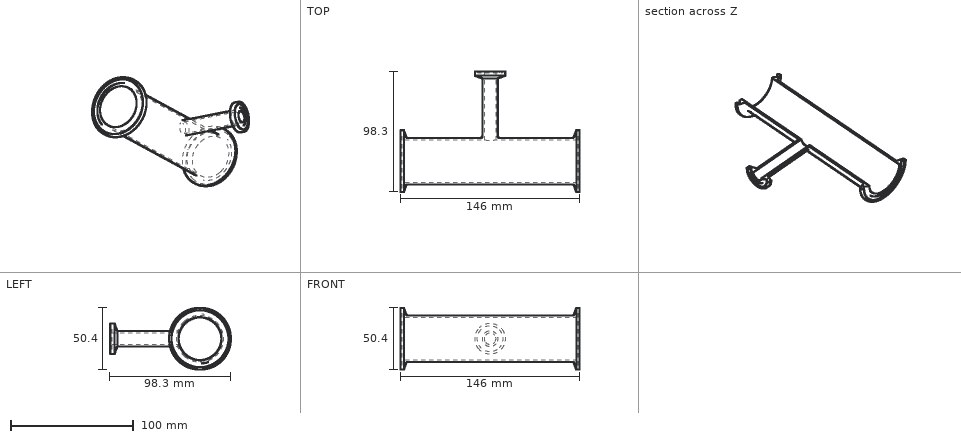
import cadquery as cq
import math

run_length = 146.0
total_width = 98.3

run_diameter = 38.1
run_bore = 34.8
run_flange_diameter = 50.4
run_groove_diameter = 47.3
run_rim_width = 2.8
run_neck_radius = 1.0

branch_diameter = 12.7
branch_bore = 9.3
branch_flange_diameter = 25.0
branch_groove_diameter = 21.9
branch_rim_width = 3.5
branch_weld_radius = 1.2
branch_reach = total_width - run_flange_diameter / 2

ferrule_length = 12.7
flange_back_angle = 20.0
groove_width = 3.0
groove_depth = 1.5
groove_lip_radius = 0.5


def ferrule(tube_diameter, flange_diameter, groove_diameter, rim_width):
    """Solid clamp ferrule with its face at Z = 0 and its tube running down -Z.

    The groove diameter is measured at the outside of the rounded outer lip.
    """
    tube_radius = tube_diameter / 2
    flange_radius = flange_diameter / 2
    groove_outer = groove_diameter / 2 - groove_lip_radius
    groove_inner = groove_outer - groove_width
    groove_middle = (groove_outer + groove_inner) / 2
    back_height = (flange_radius - tube_radius) * math.tan(math.radians(flange_back_angle))

    profile = (
        cq.Workplane("XZ")
        .moveTo(0, 0)
        .lineTo(groove_inner, 0)
        .threePointArc((groove_middle, -groove_depth), (groove_outer, 0))
        .lineTo(flange_radius, 0)
        .lineTo(flange_radius, -rim_width)
        .lineTo(tube_radius, -rim_width - back_height)
        .lineTo(tube_radius, -ferrule_length)
        .lineTo(0, -ferrule_length)
        .close()
    )
    body = profile.revolve(360, (0, 0, 0), (0, 1, 0))

    for lip in (0, 1):
        lip_edge = cq.selectors.RadiusNthSelector(lip)
        body = body.faces(">Z").edges(lip_edge).fillet(groove_lip_radius)
    return body


def run_ferrule():
    """Ferrule of the run, with a blended neck behind the flange."""
    body = ferrule(run_diameter, run_flange_diameter, run_groove_diameter, run_rim_width)
    return body.edges("%CIRCLE").edges(">>Z[1]").fillet(run_neck_radius)


def branch_ferrule():
    return ferrule(branch_diameter, branch_flange_diameter, branch_groove_diameter, branch_rim_width)


def crossing(run_size, run_end, branch_size, branch_end):
    """Cylinder along X from -run_end to run_end, joined to one from the origin along +Y."""
    run = cq.Workplane("YZ").circle(run_size / 2).extrude(run_end, both=True)
    branch = cq.Workplane("XZ").circle(branch_size / 2).extrude(-branch_end)
    return run.union(branch)


def tubes():
    """Solid run and branch between the ferrules, with the weld fillet where they meet."""
    run_end = run_length / 2 - ferrule_length
    branch_end = branch_reach - ferrule_length
    joined = crossing(run_diameter, run_end, branch_diameter, branch_end)
    weld_zone = cq.selectors.BoxSelector(
        (-branch_diameter, 0, -branch_diameter),
        (branch_diameter, run_diameter / 2, branch_diameter),
    )
    return joined.edges(weld_zone).edges("not |X").fillet(branch_weld_radius)


body = tubes()

for side in (-1, 1):
    run_end_ferrule = run_ferrule().rotate((0, 0, 0), (0, 1, 0), side * 90)
    body = body.union(run_end_ferrule.translate((side * run_length / 2, 0, 0)))

branch_end_ferrule = branch_ferrule().rotate((0, 0, 0), (1, 0, 0), -90)
body = body.union(branch_end_ferrule.translate((0, branch_reach, 0)))

bores = crossing(run_bore, run_length / 2, branch_bore, branch_reach)
result = body.cut(bores)